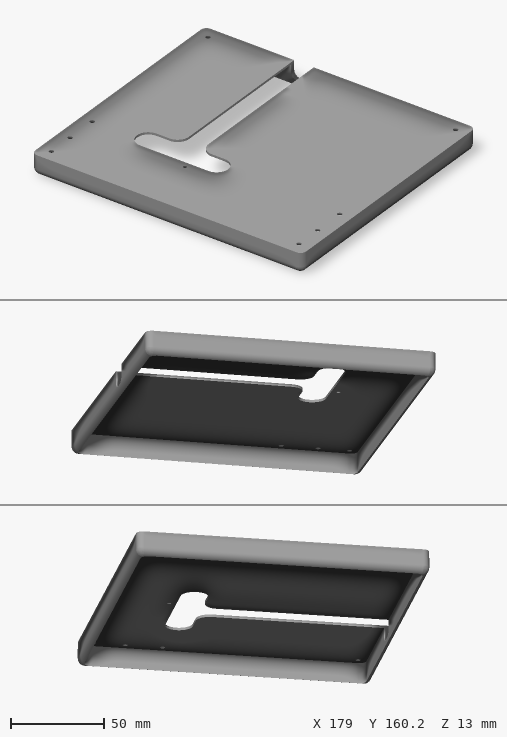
import cadquery as cq

length = 179.0
width = 160.2
height = 13.0
corner_radius = 3.8
bottom_edge_radius = 4.0
wall = 3.0
top_thickness = 1.5
cavity_corner_radius = 3.8

slot_x = -24.0
stem_width = 12.9
head_length = 60.1
head_width = 15.0
head_y = -32.0
neck_y = head_y + head_width / 2
neck_radius = head_width / 2

notch_depth = 10.0
notch_radius = 4.0

screw_diameter = 2.9
screw_x = 81.8
screw_ys = (72.3, -34.5, -55.0, -72.3)
pilot_diameter = 2.1
pilot_position = (-14.1, -43.5)


def make_shell():
    """Rounded block with its top face at z = 0, hollowed from below."""
    block = (
        cq.Workplane("XY")
        .workplane(offset=-height)
        .rect(length, width)
        .extrude(height)
        .edges("|Z")
        .fillet(corner_radius)
        .faces("<Z")
        .edges()
        .fillet(bottom_edge_radius)
    )
    cavity = (
        cq.Workplane("XY")
        .workplane(offset=-height)
        .rect(length - 2 * wall, width - 2 * wall)
        .extrude(height - top_thickness)
        .edges("|Z")
        .fillet(cavity_corner_radius)
    )
    return block.cut(cavity)


def make_t_opening():
    """T-shaped cutter through the top plate, with rounded inner neck corners."""
    head = (
        cq.Workplane("XY")
        .center(slot_x, head_y)
        .slot2D(head_length, head_width)
        .extrude(-top_thickness)
    )
    stem_length = width / 2 - head_y
    stem = (
        cq.Workplane("XY")
        .center(slot_x, head_y + stem_length / 2)
        .rect(stem_width, stem_length)
        .extrude(-top_thickness)
    )
    neck_corners = cq.selectors.BoxSelector(
        (slot_x - stem_width, neck_y - neck_radius, -top_thickness),
        (slot_x + stem_width, neck_y + neck_radius, 0),
    )
    return head.union(stem).edges("|Z").edges(neck_corners).fillet(neck_radius)


def make_notch():
    """U-shaped cutter through the back wall, as wide as the stem."""
    return (
        cq.Workplane("XY")
        .center(slot_x, width / 2 - wall / 2)
        .rect(stem_width, wall)
        .extrude(-notch_depth)
        .faces("<Z")
        .edges("|Y")
        .fillet(notch_radius)
    )


def make_holes():
    """Round cutters through the top plate."""
    screw_points = [(side * screw_x, y) for side in (-1, 1) for y in screw_ys]
    screws = cq.Workplane("XY").pushPoints(screw_points).circle(screw_diameter / 2).extrude(-top_thickness)
    pilot = cq.Workplane("XY").center(*pilot_position).circle(pilot_diameter / 2).extrude(-top_thickness)
    return screws.union(pilot)


result = make_shell().cut(make_t_opening()).cut(make_notch()).cut(make_holes())